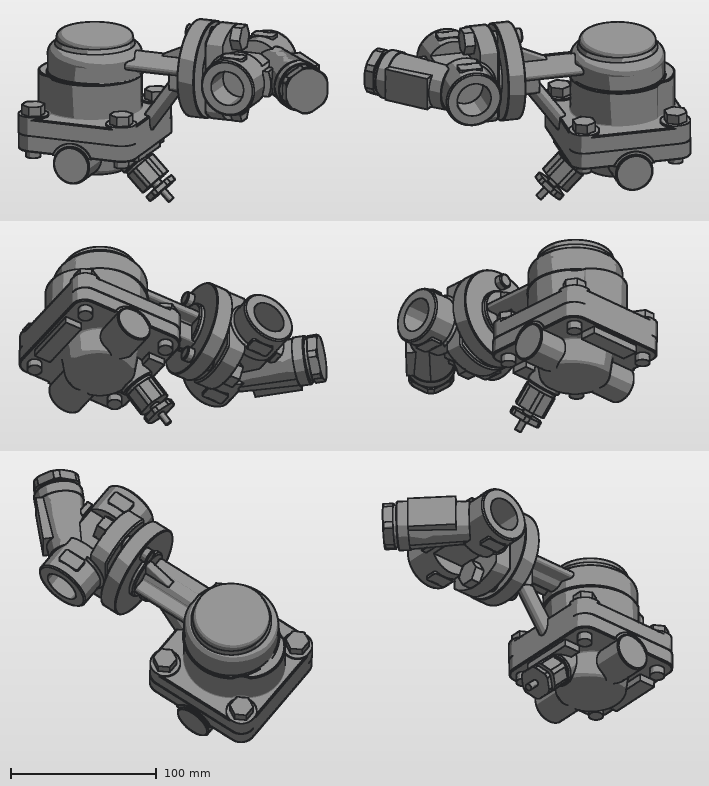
import cadquery as cq
import math


PLATE_SIDE = 85.3
PLATE_CORNER_R = 10
PLATE_TOP_Z = -36.9
SPLIT_Z = -49
PLATE_BOTTOM_Z = -60.7
PLATE_EDGE = 0.8
LOWER_Y = 0.6
COVER_BOLT_PITCH = 65
BOLT_PAD_R = 10.5
BOLT_PAD_H = 1.2
COVER_BOLT_D = 10
COVER_BOLT_AF = 14
COVER_HEAD_H = 6.6
COVER_BOLT_END_Z = -66.4

COLLAR_R = 33.4
COLLAR_TOP_Z = -11
COLLAR_X = -1
COLLAR_EDGE = 0.8
COLLAR_FOOT_R = 1.5
LOBE_X = -14.3
LOBE_R = 25.5
SCALLOP_R = 13
SCALLOP_EDGE_R = 2

DOME_R = 32.4
DOME_FOOT_R = 0.9
DOME_SHOULDER_Z = 0.7
NECK_R = 27.6
NECK_Z = 9.2
CROWN_R = 26.4
CROWN_NECK_Z = 12.5
CROWN_TOP_R = 22.3
CROWN_TOP_Z = 17.7

BOWL_TOP_R = 26
BOWL_SKIRT = 2.1
BOWL_LOW_R = 24.3
BOWL_LOW_Z = -74.7
BOWL_FLOOR_R = 19.5
BOWL_FLOOR_Z = -79.2

PORT_D = 26.4
PORT_Z = -66.3
PORT_LENGTH = 89
PORT_EDGE = 0.8
PORT_SADDLE_D = 30.5
PORT_SADDLE_LENGTH = 86.4
RIB_REACH = 40
RIB_INNER_X = 27.5
RIB_WIDTH = 40
RIB_BOTTOM_Z = -66

DRAIN_X = 33.4
DRAIN_Z = -74.4
DRAIN_BOSS_D = 24
DRAIN_BOSS_LENGTH = 22
DRAIN_BOSS_EDGE = 1
DRAIN_GAP = 2.2
DRAIN_GAP_D = 21
DRAIN_AF = 21.4
DRAIN_TURNED_D = 23
DRAIN_HEX_LENGTH = 15.7
DRAIN_NECK_D = 7
DRAIN_DISC_START = 19.3
DRAIN_DISC_T = 4
DRAIN_STEM_D = 4.6
DRAIN_STEM_END = 32.15

PIPE_D = 14.5
PIPE_WING_WIDTH = 31.7
PIPE_WING_T = 6
PIPE_BLEND_R = 2.5
FLANGE_D = 67.4
FLANGE_X = 74
FLANGE_T = 12.5
FLANGE_EDGE = 0.6
HUB_D = 35
HUB_LENGTH = 3.4
HUB_EDGE = 1
FACE_GAP = 3.3
GUSSET_X = 51
GUSSET_T = 6
GUSSET_EDGE_R = 1.2
BLOCK_X = 57
BLOCK_WIDTH = 12
BLOCK_EDGE = 2.5
RETURN_D = 11
RETURN_LOW = (36, -48)
RETURN_HIGH = (62.5, -11)

FLANGE_BOLT_Z = 25.5
FLANGE_BOLT_D = 10
FLANGE_BOLT_AF = 16
FLANGE_BOLT_START_X = 68.6
FLANGE_HEAD_H = 7.2
BOLT_TIP = 0.8

LUG_FLANGE_R = 33.3
LUG_FLANGE_T = 13.5
LUG_FLANGE_WIDTH = 44.6
LUG_FLANGE_EDGE = 1.2
LUG_CORNER_R = 3
STRAINER_X = 113.1
STRAINER_Y = 2.1
STRAINER_D = 39
STRAINER_LENGTH = 80.5
STRAINER_EDGE = 1
BORE_D = 24
BORE_DEPTH = 22
NECK_FLARE = 1.7
NECK_FLARE_END_X = 106.1
WAIST_WIDTH = 34
WAIST_Z = 11
WAIST_SLOPE = 3.5
PAD_LENGTH = 16
PAD_WIDTH = 10
PAD_CORNER_R = 1.6
PAD_HEIGHT = 19.9
PAD_FROM_END = 11.8

CAP_FACE_X = 165.75
BRANCH_SUM = 143
CAP_LENGTH = 7
CAP_AF = 30.8
CAP_TURNED_D = 33.3
CAP_EDGE = 0.8
CAP_NECK_D = 29
CAP_NECK_LENGTH = 2.3
SEAT_D = 33.8
SEAT_LENGTH = 8.1
SEAT_EDGE = 0.6
BRANCH_END_D = 32.6
BRANCH_LENGTH = 42
BRANCH_START_OFFSET = 0.4
BRANCH_START_WIDTH = 26.5
BRANCH_START_HEIGHT = 30.5
BRANCH_RIB_LENGTH = 33
BRANCH_RIB_REACH = 16.6
BRANCH_RIB_WIDTH = 23
WEB_R = 24.3
WEB_LOW_Y = -18.6
WEB_HIGH_Y = -8
WEB_WIDTH = 18

SELECT_MARGIN = 0.1
COS45 = math.cos(math.radians(45))


def rod(start, direction, diameter, length):
    """Cylinder from a start point along a direction."""
    return cq.Workplane(obj=cq.Solid.makeCylinder(
        diameter / 2, length, cq.Vector(*start), cq.Vector(*direction)))


def along(start, direction, distance):
    """Point at a distance from start along a unit direction."""
    return tuple(s + d * distance for s, d in zip(start, direction))


def facing(direction):
    """Selector for the farthest face along a direction."""
    return cq.selectors.DirectionMinMaxSelector(cq.Vector(*direction))


def hex_prism(start, direction, corner_direction, across_flats, length):
    """Hexagonal prism with one corner pointing along corner_direction."""
    across_corners = across_flats / math.cos(math.radians(30))
    plane = cq.Plane(origin=start, xDir=corner_direction, normal=direction)
    return cq.Workplane(plane).polygon(6, across_corners).extrude(length)


def turned_hex(start, direction, corner_direction, across_flats, turned_d, length):
    """Hexagonal prism with its corners turned down to a diameter."""
    prism = hex_prism(start, direction, corner_direction, across_flats, length)
    return prism.intersect(rod(start, direction, turned_d, length))


def square_plate(bottom_z, top_z, center_y):
    return (
        cq.Workplane("XY", origin=(0, center_y, bottom_z))
        .rect(PLATE_SIDE, PLATE_SIDE)
        .extrude(top_z - bottom_z)
        .edges("|Z")
        .fillet(PLATE_CORNER_R)
    )


def cover_bolt_places():
    reach = COVER_BOLT_PITCH / 2
    return [(x, y) for x in (-reach, reach) for y in (-reach, reach)]


def make_cover():
    plate = square_plate(SPLIT_Z, PLATE_TOP_Z, 0).faces(">Z").chamfer(PLATE_EDGE)
    height = COLLAR_TOP_Z - PLATE_TOP_Z
    collar = rod((COLLAR_X, 0, PLATE_TOP_Z), (0, 0, 1), 2 * COLLAR_R, height)
    lobe = rod((LOBE_X, 0, PLATE_TOP_Z), (0, 0, 1), 2 * LOBE_R, height)
    collar = collar.union(lobe)
    for x, y in cover_bolt_places():
        collar = collar.cut(rod((x, y, PLATE_TOP_Z), (0, 0, 1), 2 * SCALLOP_R, height))
    collar = collar.edges("|Z").fillet(SCALLOP_EDGE_R)
    collar = collar.faces(">Z").chamfer(COLLAR_EDGE)
    cover = plate.union(collar)
    reach = PLATE_SIDE / 2 - 1.5 * PLATE_EDGE
    foot = cq.selectors.BoxSelector(
        (-reach, -reach, PLATE_TOP_Z - SELECT_MARGIN),
        (reach, reach, PLATE_TOP_Z + SELECT_MARGIN), True)
    cover = cover.edges(foot).fillet(COLLAR_FOOT_R)
    return cover.union(make_dome())


def make_dome():
    crown_bend = CROWN_TOP_Z - CROWN_R + CROWN_TOP_R
    crown_mid = (
        CROWN_TOP_R + (CROWN_R - CROWN_TOP_R) * COS45,
        crown_bend + (CROWN_TOP_Z - crown_bend) * COS45,
    )
    shoulder_mid = (
        NECK_R + (DOME_R - NECK_R) * COS45,
        DOME_SHOULDER_Z + (NECK_Z - DOME_SHOULDER_Z) * COS45,
    )
    return (
        cq.Workplane("XZ")
        .moveTo(0, COLLAR_TOP_Z)
        .lineTo(DOME_R + DOME_FOOT_R, COLLAR_TOP_Z)
        .radiusArc((DOME_R, COLLAR_TOP_Z + DOME_FOOT_R), DOME_FOOT_R)
        .lineTo(DOME_R, DOME_SHOULDER_Z)
        .threePointArc(shoulder_mid, (NECK_R, NECK_Z))
        .lineTo(CROWN_R, CROWN_NECK_Z)
        .lineTo(CROWN_R, crown_bend)
        .threePointArc(crown_mid, (CROWN_TOP_R, CROWN_TOP_Z))
        .lineTo(0, CROWN_TOP_Z)
        .close()
        .revolve(360, (0, 0), (0, 1))
    )


def make_lower_body():
    plate = square_plate(PLATE_BOTTOM_Z, SPLIT_Z, LOWER_Y).faces("<Z").chamfer(PLATE_EDGE)
    floor_mid = (
        BOWL_FLOOR_R + (BOWL_LOW_R - BOWL_FLOOR_R) * COS45,
        BOWL_LOW_Z + (BOWL_FLOOR_Z - BOWL_LOW_Z) * COS45,
    )
    bowl = (
        cq.Workplane("XZ", origin=(0, LOWER_Y, 0))
        .moveTo(0, PLATE_BOTTOM_Z)
        .lineTo(BOWL_TOP_R + BOWL_SKIRT, PLATE_BOTTOM_Z)
        .radiusArc((BOWL_TOP_R, PLATE_BOTTOM_Z - BOWL_SKIRT), -BOWL_SKIRT)
        .lineTo(BOWL_LOW_R, BOWL_LOW_Z)
        .threePointArc(floor_mid, (BOWL_FLOOR_R, BOWL_FLOOR_Z))
        .lineTo(0, BOWL_FLOOR_Z)
        .close()
        .revolve(360, (0, 0), (0, 1))
    )
    port = rod((0, LOWER_Y - PORT_LENGTH / 2, PORT_Z), (0, 1, 0), PORT_D, PORT_LENGTH)
    port = port.faces("<Y or >Y").chamfer(PORT_EDGE)
    saddle = rod((0, LOWER_Y - PORT_SADDLE_LENGTH / 2, PORT_Z), (0, 1, 0),
                 PORT_SADDLE_D, PORT_SADDLE_LENGTH)
    above_bottom = cq.Workplane("XY", origin=(0, 0, PLATE_BOTTOM_Z)).rect(
        2 * PORT_SADDLE_LENGTH, 2 * PORT_SADDLE_LENGTH).extrude(PORT_SADDLE_D)
    body = plate.union(bowl).union(port).union(saddle.intersect(above_bottom))

    rib_length = RIB_REACH - RIB_INNER_X
    for side in (-1, 1):
        rib_x = side * (RIB_INNER_X + rib_length / 2)
        rib = (
            cq.Workplane("XY", origin=(rib_x, LOWER_Y, RIB_BOTTOM_Z))
            .rect(rib_length, RIB_WIDTH)
            .extrude(PLATE_BOTTOM_Z - RIB_BOTTOM_Z)
        )
        body = body.union(rib)
    return body


def make_cover_bolts():
    bolts = cq.Workplane("XY")
    head_z = PLATE_TOP_Z + BOLT_PAD_H
    outline = square_plate(SPLIT_Z, head_z, 0)
    for x, y in cover_bolt_places():
        pad = rod((x, y, SPLIT_Z), (0, 0, 1), 2 * BOLT_PAD_R, head_z - SPLIT_Z).intersect(outline)
        shank = rod((x, y, COVER_BOLT_END_Z), (0, 0, 1), COVER_BOLT_D, head_z - COVER_BOLT_END_Z)
        head = hex_prism((x, y, head_z), (0, 0, 1), (0, 1, 0), COVER_BOLT_AF, COVER_HEAD_H)
        bolts = bolts.union(pad).union(shank).union(head)
    return bolts


def make_blowdown_valve():
    axis = (COS45, 0, -COS45)
    corner = (0, 1, 0)
    start = (DRAIN_X, LOWER_Y, DRAIN_Z)
    boss = rod(along(start, axis, -DRAIN_GAP - DRAIN_BOSS_LENGTH), axis, DRAIN_BOSS_D, DRAIN_BOSS_LENGTH)
    boss = boss.faces(facing(axis)).chamfer(DRAIN_BOSS_EDGE)
    gap = rod(along(start, axis, -DRAIN_GAP), axis, DRAIN_GAP_D, DRAIN_GAP)
    nut = turned_hex(start, axis, corner, DRAIN_AF, DRAIN_TURNED_D, DRAIN_HEX_LENGTH)
    neck = rod(along(start, axis, DRAIN_HEX_LENGTH), axis, DRAIN_NECK_D,
               DRAIN_DISC_START - DRAIN_HEX_LENGTH)
    disc = turned_hex(along(start, axis, DRAIN_DISC_START), axis, corner,
                      DRAIN_AF, DRAIN_TURNED_D, DRAIN_DISC_T)
    stem = rod(along(start, axis, DRAIN_HEX_LENGTH), axis, DRAIN_STEM_D,
               DRAIN_STEM_END - DRAIN_HEX_LENGTH)
    return boss.union(gap).union(nut).union(neck).union(disc).union(stem)


def make_pipe():
    pipe = rod((0, 0, 0), (1, 0, 0), PIPE_D, FLANGE_X)
    wings = (
        cq.Workplane("YZ")
        .slot2D(PIPE_WING_WIDTH, PIPE_WING_T)
        .extrude(FLANGE_X)
    )
    pipe = pipe.union(wings)
    corner_y = math.sqrt((PIPE_D / 2)**2 - (PIPE_WING_T / 2)**2)
    corners = cq.selectors.BoxSelector(
        (0, -corner_y - SELECT_MARGIN, -PIPE_WING_T),
        (FLANGE_X, corner_y + SELECT_MARGIN, PIPE_WING_T))
    pipe = pipe.edges("|X").edges(corners).fillet(PIPE_BLEND_R)
    gusset = (
        cq.Workplane("XZ")
        .moveTo(GUSSET_X, PIPE_D / 2)
        .lineTo(FLANGE_X - HUB_LENGTH, HUB_D / 2 - HUB_EDGE)
        .lineTo(FLANGE_X, HUB_D / 2 - HUB_EDGE)
        .lineTo(FLANGE_X, 0)
        .lineTo(GUSSET_X, 0)
        .close()
        .extrude(GUSSET_T / 2, both=True)
        .faces("|Y")
        .edges("not (|X or |Z)")
        .fillet(GUSSET_EDGE_R)
    )
    block = (
        cq.Workplane("XZ")
        .moveTo(BLOCK_X, 0)
        .lineTo(BLOCK_X, -HUB_D / 2)
        .lineTo(FLANGE_X, -HUB_D / 2)
        .lineTo(FLANGE_X, 0)
        .close()
        .extrude(BLOCK_WIDTH / 2, both=True)
        .faces("<Z")
        .edges("not >X")
        .fillet(BLOCK_EDGE)
    )
    rise = (RETURN_HIGH[0] - RETURN_LOW[0], 0, RETURN_HIGH[1] - RETURN_LOW[1])
    return_pipe = rod((RETURN_LOW[0], 0, RETURN_LOW[1]), rise, RETURN_D, math.hypot(rise[0], rise[2]))
    return pipe.union(gusset).union(block).union(return_pipe)


def make_flange():
    hub = rod((FLANGE_X - HUB_LENGTH, 0, 0), (1, 0, 0), HUB_D, HUB_LENGTH).faces("<X").chamfer(HUB_EDGE)
    disc = rod((FLANGE_X, 0, 0), (1, 0, 0), FLANGE_D, FLANGE_T).faces("<X or >X").chamfer(FLANGE_EDGE)
    raised_face = rod((FLANGE_X + FLANGE_T, 0, 0), (1, 0, 0), HUB_D, FACE_GAP)
    return hub.union(disc).union(raised_face)


def make_flange_bolts():
    bolts = cq.Workplane("XY")
    head_x = FLANGE_X + FLANGE_T + FACE_GAP + LUG_FLANGE_T
    for z in (-FLANGE_BOLT_Z, FLANGE_BOLT_Z):
        shank = rod((FLANGE_BOLT_START_X, 0, z), (1, 0, 0), FLANGE_BOLT_D, head_x - FLANGE_BOLT_START_X)
        shank = shank.faces("<X").chamfer(BOLT_TIP)
        head = hex_prism((head_x, 0, z), (1, 0, 0), (0, 1, 0), FLANGE_BOLT_AF, FLANGE_HEAD_H)
        bolts = bolts.union(shank).union(head)
    return bolts


def make_lug_flange():
    start_x = FLANGE_X + FLANGE_T + FACE_GAP
    round_plate = rod((start_x, 0, 0), (1, 0, 0), 2 * LUG_FLANGE_R, LUG_FLANGE_T)
    band = (
        cq.Workplane("YZ", origin=(start_x, 0, 0))
        .rect(LUG_FLANGE_WIDTH, 2 * FLANGE_D)
        .extrude(LUG_FLANGE_T)
    )
    return (
        round_plate.intersect(band)
        .edges("|X")
        .fillet(LUG_CORNER_R)
        .faces("<X")
        .chamfer(LUG_FLANGE_EDGE)
    )


def make_neck_flares():
    """Short cones that blend the sides of the lug flange into the pipe ends."""
    flares = cq.Workplane("XY")
    start_x = FLANGE_X + FLANGE_T + FACE_GAP + LUG_FLANGE_EDGE
    room = (
        cq.Workplane("YZ", origin=(start_x, 0, 0))
        .rect(2 * LUG_FLANGE_WIDTH, 2 * STRAINER_D)
        .extrude(NECK_FLARE_END_X - start_x)
    )
    for side in (-1, 1):
        root = cq.Vector(STRAINER_X, side * LUG_FLANGE_WIDTH / 2, 0)
        cone = cq.Solid.makeCone(
            STRAINER_D / 2 + NECK_FLARE, STRAINER_D / 2, NECK_FLARE, root, cq.Vector(0, side, 0))
        flares = flares.union(room.intersect(cq.Workplane(obj=cone)))
    return flares


def make_strainer_body():
    low_end = STRAINER_Y - STRAINER_LENGTH / 2
    high_end = STRAINER_Y + STRAINER_LENGTH / 2
    body = rod((STRAINER_X, low_end, 0), (0, 1, 0), STRAINER_D, STRAINER_LENGTH)
    body = body.faces("<Y or >Y").chamfer(STRAINER_EDGE)
    for side in (-1, 1):
        half_width = WAIST_WIDTH / 2
        recess = (
            cq.Workplane("YZ", origin=(STRAINER_X - STRAINER_D, 0, 0))
            .moveTo(-half_width + WAIST_SLOPE, side * WAIST_Z)
            .lineTo(half_width - WAIST_SLOPE, side * WAIST_Z)
            .lineTo(half_width, side * STRAINER_D)
            .lineTo(-half_width, side * STRAINER_D)
            .close()
            .extrude(2 * STRAINER_D)
        )
        body = body.cut(recess)
        for pad_y in (low_end + PAD_FROM_END, high_end - PAD_FROM_END):
            pad = (
                cq.Workplane("XY", origin=(STRAINER_X, pad_y, 0))
                .rect(PAD_LENGTH, PAD_WIDTH)
                .extrude(side * PAD_HEIGHT)
                .edges("|Z")
                .fillet(PAD_CORNER_R)
            )
            body = body.union(pad)
    return body


def make_branch():
    axis = (COS45, -COS45, 0)
    up = (0, 0, 1)
    cap_face = (CAP_FACE_X, BRANCH_SUM - CAP_FACE_X, 0)
    cap_start = along(cap_face, axis, -CAP_LENGTH)
    seat_end = along(cap_start, axis, -CAP_NECK_LENGTH)
    seat_start = along(seat_end, axis, -SEAT_LENGTH)
    turned = rod(cap_start, axis, CAP_TURNED_D, CAP_LENGTH).faces(facing(axis)).chamfer(CAP_EDGE)
    cap = hex_prism(cap_start, axis, up, CAP_AF, CAP_LENGTH).intersect(turned)
    neck = rod(seat_end, axis, CAP_NECK_D, CAP_NECK_LENGTH)
    seat = rod(seat_start, axis, SEAT_D, SEAT_LENGTH).faces(facing(axis)).chamfer(SEAT_EDGE)
    seat_plane = cq.Plane(origin=seat_start, xDir=(COS45, COS45, 0), normal=(-COS45, COS45, 0))
    barrel = (
        cq.Workplane(seat_plane)
        .circle(BRANCH_END_D / 2)
        .workplane(offset=BRANCH_LENGTH)
        .center(BRANCH_START_OFFSET, 0)
        .ellipse(BRANCH_START_WIDTH / 2, BRANCH_START_HEIGHT / 2)
        .loft()
    )
    rib = (
        cq.Workplane(seat_plane)
        .center(BRANCH_RIB_REACH / 2, 0)
        .rect(BRANCH_RIB_REACH, BRANCH_RIB_WIDTH)
        .extrude(BRANCH_RIB_LENGTH)
    )
    web_disc = rod((STRAINER_X, WEB_LOW_Y, 0), (0, 1, 0), 2 * WEB_R, WEB_HIGH_Y - WEB_LOW_Y)
    beyond_pipe = (
        cq.Workplane("YZ", origin=(STRAINER_X + STRAINER_D / 2 - STRAINER_EDGE, 0, 0))
        .rect(STRAINER_LENGTH, WEB_WIDTH)
        .extrude(STRAINER_D)
    )
    web = web_disc.intersect(beyond_pipe)
    return barrel.union(web).union(seat).union(neck).union(cap).union(rib)


def make_bores():
    """Blind bores at both pipe ends of the strainer."""
    low_end = (STRAINER_X, STRAINER_Y - STRAINER_LENGTH / 2, 0)
    high_end = (STRAINER_X, STRAINER_Y + STRAINER_LENGTH / 2, 0)
    low_bore = rod(low_end, (0, 1, 0), BORE_D, BORE_DEPTH)
    high_bore = rod(high_end, (0, -1, 0), BORE_D, BORE_DEPTH)
    return low_bore.union(high_bore)


result = (
    make_cover()
    .union(make_lower_body())
    .union(make_cover_bolts())
    .union(make_blowdown_valve())
    .union(make_pipe())
    .union(make_flange())
    .union(make_lug_flange())
    .union(make_flange_bolts())
    .union(make_strainer_body())
    .union(make_neck_flares())
    .union(make_branch())
    .cut(make_bores())
)